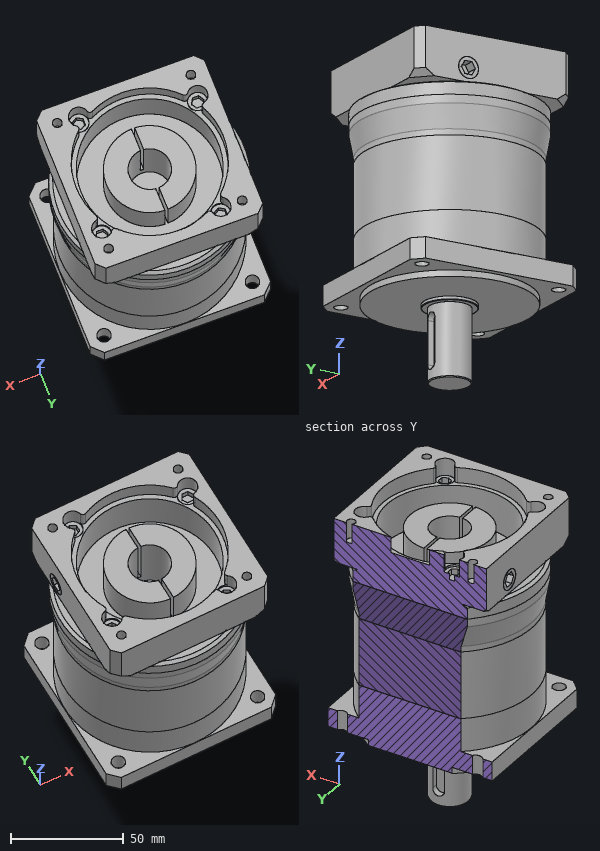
import cadquery as cq
import math


TOTAL_HEIGHT = 150.5
COLLAR_BOTTOM_Z = 35.2
PILOT_BOTTOM_Z = 36.9
FLANGE_BOTTOM_Z = 39.9
FLANGE_TOP_Z = 50.0
RING_BOTTOM_Z = 67.3
COVER_BOTTOM_Z = 102.3
CONE_BOTTOM_Z = 105.2
CONE_TOP_Z = 116.6
ADAPTER_BOTTOM_Z = 120.7
COVER_TOP_Z = 122.7
RIM_TOP_Z = 127.5

SHAFT_RADIUS = 10.0
SHAFT_CHAMFER = 0.5
COLLAR_RADIUS = 12.8
COLLAR_CHAMFER = 0.3
PILOT_RADIUS = 40.0
BODY_RADIUS = 42.9
RIM_RADIUS = 45.0
RIM_CHAMFER_WIDTH = 1.8
RIM_CHAMFER_HEIGHT = 0.9
FLANGE_WIDTH = 86.1
FLANGE_CORNER = 5.0
FLANGE_HOLE_RADIUS = 3.2
FLANGE_BOLT_RADIUS = 50.0

KEYWAY_WIDTH = 6.0
KEYWAY_DEPTH = 3.5
KEYWAY_BOTTOM = 5.1
KEYWAY_TOP = 31.9

ADAPTER_WIDTH = 2 * PILOT_RADIUS
ADAPTER_CORNER = 3.8
ADAPTER_BEVEL = 3.2
BORE_RADIUS = 32.7
RECESS_RADIUS = 34.9
RECESS_DEPTH = 8.0
LEDGE_Z = TOTAL_HEIGHT - RECESS_DEPTH

SCREW_POCKET_RADIUS = 4.5
SCREW_HEAD_Z = LEDGE_Z - 1.0
SCREW_BOLT_RADIUS = 38.1
SCREW_FIRST_ANGLE = 35
SCREW_POCKET_FILLET = 1.5
SCREW_SOCKET_FLATS = 5.1
SCREW_SOCKET_DEPTH = 3.0

MOTOR_HOLE_RADIUS = 2.1
MOTOR_HOLE_DEPTH = 10.0
MOTOR_BOLT_RADIUS = 45.0
DRILL_POINT_ANGLE = 118

PLUG_RADIUS = 5.1
PLUG_SETBACK = 0.2
PLUG_Y = 14.0
PLUG_Z = 134.4
PLUG_SOCKET_FLATS = 6.2
PLUG_SOCKET_DEPTH = 6.0

HUB_RADIUS = 20.6
HUB_TOP_Z = TOTAL_HEIGHT - 9.6
HUB_BORE_RADIUS = 9.6
HUB_BORE_DEPTH = 30.1
HUB_SLIT_WIDTH = 1.5
SLIT_WELL_RADIUS = 14.3
SLIT_WELL_DEPTH = 7.5

CORNER_ANGLE = 45


def cylinder(radius, bottom, top):
    return cq.Workplane("XY", origin=(0, 0, bottom)).circle(radius).extrude(top - bottom)


def turned(profile):
    """Solid of revolution around Z from (radius, height) points."""
    return cq.Workplane("XZ").polyline(profile).close().revolve(360, (0, 0, 0), (0, 1, 0))


def square_plate(width, corner, bottom, top):
    """Square plate centred on Z with its four upright edges chamfered."""
    plate = cq.Workplane("XY", origin=(0, 0, bottom)).rect(width, width).extrude(top - bottom)
    return plate.edges("|Z").chamfer(corner)


def across_corners(across_flats):
    """Distance across the corners of a regular hexagon."""
    return across_flats / math.cos(math.pi / 6)


def cut_four_times(body, cutter, first_angle):
    """Cut four copies of a cutter that lies on the +X axis, a quarter turn apart around Z."""
    for quarter in range(4):
        body = body.cut(cutter.rotate((0, 0, 0), (0, 0, 1), first_angle + 90 * quarter))
    return body


def make_keyway():
    return (
        cq.Workplane("XZ", origin=(0, SHAFT_RADIUS, (KEYWAY_BOTTOM + KEYWAY_TOP) / 2))
        .slot2D(KEYWAY_TOP - KEYWAY_BOTTOM, KEYWAY_WIDTH, 90)
        .extrude(KEYWAY_DEPTH)
    )


def make_output():
    """Output housing with its shaft, sealing collar, pilot and square mounting flange."""
    profile = [
        (0, 0),
        (SHAFT_RADIUS - SHAFT_CHAMFER, 0),
        (SHAFT_RADIUS, SHAFT_CHAMFER),
        (SHAFT_RADIUS, COLLAR_BOTTOM_Z),
        (COLLAR_RADIUS - COLLAR_CHAMFER, COLLAR_BOTTOM_Z),
        (COLLAR_RADIUS, COLLAR_BOTTOM_Z + COLLAR_CHAMFER),
        (COLLAR_RADIUS, PILOT_BOTTOM_Z),
        (PILOT_RADIUS, PILOT_BOTTOM_Z),
        (PILOT_RADIUS, FLANGE_TOP_Z),
        (BODY_RADIUS, FLANGE_TOP_Z),
        (BODY_RADIUS, RING_BOTTOM_Z),
        (0, RING_BOTTOM_Z),
    ]
    flange = square_plate(FLANGE_WIDTH, FLANGE_CORNER, FLANGE_BOTTOM_Z, FLANGE_TOP_Z)
    flange_hole = cylinder(FLANGE_HOLE_RADIUS, FLANGE_BOTTOM_Z, FLANGE_TOP_Z)
    flange_hole = flange_hole.translate((FLANGE_BOLT_RADIUS, 0, 0))
    output = cut_four_times(turned(profile).union(flange), flange_hole, CORNER_ANGLE)
    return output.cut(make_keyway())


def make_ring():
    """Middle section of the housing."""
    return cylinder(BODY_RADIUS, RING_BOTTOM_Z, COVER_BOTTOM_Z)


def make_cover():
    """Flared input cover with a boss that centres the adapter and carries the clamping hub."""
    profile = [
        (0, COVER_BOTTOM_Z),
        (BODY_RADIUS, COVER_BOTTOM_Z),
        (BODY_RADIUS, CONE_BOTTOM_Z),
        (RIM_RADIUS, CONE_TOP_Z),
        (RIM_RADIUS, ADAPTER_BOTTOM_Z),
        (BORE_RADIUS, ADAPTER_BOTTOM_Z),
        (BORE_RADIUS, COVER_TOP_Z),
        (HUB_RADIUS, COVER_TOP_Z),
        (HUB_RADIUS, HUB_TOP_Z),
        (0, HUB_TOP_Z),
    ]
    hub_bore = cylinder(HUB_BORE_RADIUS, HUB_TOP_Z - HUB_BORE_DEPTH, HUB_TOP_Z)
    return turned(profile).cut(hub_bore).cut(make_hub_slit())


def make_hub_slit():
    """Slit across the hub, down to the boss and deeper close to the bore."""
    slit_bottom = COVER_TOP_Z - SLIT_WELL_DEPTH
    slit = (
        cq.Workplane("XY", origin=(0, 0, slit_bottom))
        .rect(HUB_SLIT_WIDTH, 2 * HUB_RADIUS)
        .extrude(HUB_TOP_Z - slit_bottom)
    )
    well = cylinder(SLIT_WELL_RADIUS, slit_bottom, COVER_TOP_Z)
    return slit.intersect(well.union(cylinder(HUB_RADIUS, COVER_TOP_Z, HUB_TOP_Z)))


def make_adapter_block():
    """Square block whose corners are also bevelled along their lower edges."""
    block = square_plate(ADAPTER_WIDTH, ADAPTER_CORNER, RIM_TOP_Z, TOTAL_HEIGHT)
    return block.faces("<Z").edges("(not #X) and (not #Y)").chamfer(ADAPTER_BEVEL)


def make_rim():
    """Round lower part of the adapter, chamfered around its top."""
    profile = [
        (0, ADAPTER_BOTTOM_Z),
        (RIM_RADIUS, ADAPTER_BOTTOM_Z),
        (RIM_RADIUS, RIM_TOP_Z - RIM_CHAMFER_HEIGHT),
        (RIM_RADIUS - RIM_CHAMFER_WIDTH, RIM_TOP_Z),
        (0, RIM_TOP_Z),
    ]
    return turned(profile)


def make_recess():
    """Round recess widened by four screw pockets, with rounded edges between them."""
    recess = cylinder(RECESS_RADIUS, LEDGE_Z, TOTAL_HEIGHT)
    pocket = cylinder(SCREW_POCKET_RADIUS, LEDGE_Z, TOTAL_HEIGHT).translate((SCREW_BOLT_RADIUS, 0, 0))
    for quarter in range(4):
        recess = recess.union(pocket.rotate((0, 0, 0), (0, 0, 1), SCREW_FIRST_ANGLE + 90 * quarter))
    return recess.edges("|Z").fillet(SCREW_POCKET_FILLET)


def make_screw_cutter():
    """Screw pocket below the ledge with the hexagon socket of the screw head in its floor."""
    pocket = cylinder(SCREW_POCKET_RADIUS, SCREW_HEAD_Z, LEDGE_Z)
    socket = (
        cq.Workplane("XY", origin=(0, 0, SCREW_HEAD_Z - SCREW_SOCKET_DEPTH))
        .polygon(6, across_corners(SCREW_SOCKET_FLATS))
        .extrude(SCREW_SOCKET_DEPTH)
        .rotate((0, 0, 0), (0, 0, 1), -SCREW_FIRST_ANGLE)
    )
    return pocket.union(socket).translate((SCREW_BOLT_RADIUS, 0, 0))


def make_motor_hole():
    """Blind drilled hole with a conical end."""
    point_length = MOTOR_HOLE_RADIUS / math.tan(math.radians(DRILL_POINT_ANGLE / 2))
    profile = [
        (0, 0),
        (MOTOR_HOLE_RADIUS, 0),
        (MOTOR_HOLE_RADIUS, -MOTOR_HOLE_DEPTH),
        (0, -MOTOR_HOLE_DEPTH - point_length),
    ]
    return turned(profile).translate((MOTOR_BOLT_RADIUS, 0, TOTAL_HEIGHT))


def make_plug_cutter():
    """Shallow round setback of the plug face with a blind hexagon socket in its middle."""
    side = cq.Workplane("YZ", origin=(-ADAPTER_WIDTH / 2, PLUG_Y, PLUG_Z))
    setback = side.circle(PLUG_RADIUS).extrude(PLUG_SETBACK)
    socket = side.polygon(6, across_corners(PLUG_SOCKET_FLATS)).extrude(PLUG_SOCKET_DEPTH)
    return setback.union(socket)


def make_adapter():
    """Motor adapter: square block on a round rim, open through the middle."""
    bore = cylinder(BORE_RADIUS, ADAPTER_BOTTOM_Z, TOTAL_HEIGHT)
    adapter = make_adapter_block().union(make_rim()).cut(bore).cut(make_recess())
    adapter = cut_four_times(adapter, make_screw_cutter(), SCREW_FIRST_ANGLE)
    adapter = cut_four_times(adapter, make_motor_hole(), CORNER_ANGLE)
    return adapter.cut(make_plug_cutter())


output = make_output()
ring = make_ring()
cover = make_cover()
adapter = make_adapter()

result = cq.Compound.makeCompound([output.val(), ring.val(), cover.val(), adapter.val()])